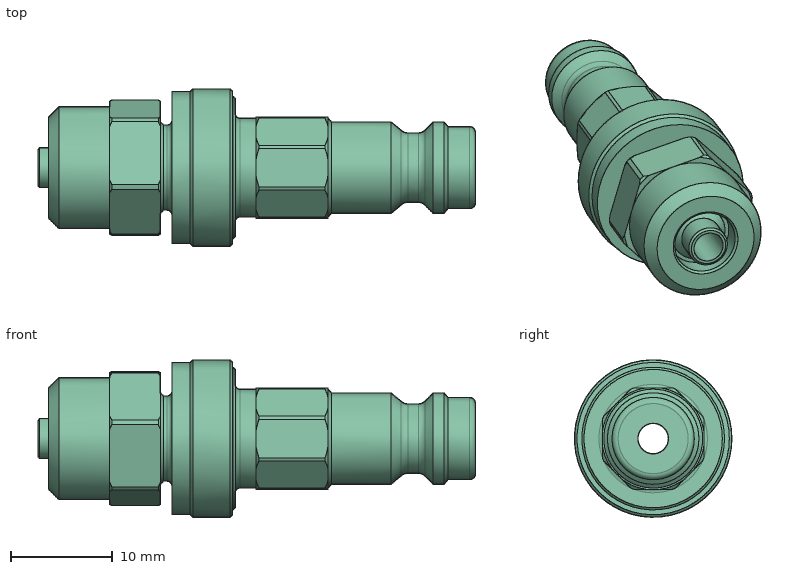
import cadquery as cq
import math

LENGTH = 43.0
BORE_R = 2.95 / 2

BARB_R = 3.95 / 2
BARB_TIP_R = 1.75
BARB_TIP_CHAMFER = 0.17
CONE_START_X = 2.6
CONE_END_X = 3.45
CONE_END_R = 2.7
STEM_R = 9.0 / 2

RELIEF_R = 8.4 / 2
RELIEF_START_X = 12.35
RELIEF_END_X = 12.7

FLANGE_X = 13.15
FLANGE_R = 7.5
RING_X = 14.95
RING_SEAT_R = 14.0 / 2
SEAT_END_X = 19.4
SEAT_CHAMFER = 0.2
NECK_R = 9.7 / 2
NECK_FILLET = 0.47

OCTAGON_X = 21.4
OCTAGON_END_X = 28.5
OCTAGON_FLATS = 9.98
OCTAGON_CORNER_R = 5.35
OCTAGON_CHAMFER = 0.3
OCTAGON_SLOPE_END_X = 28.85

PLUG_R = 9.0 / 2
LOCK_R = 6.85 / 2
LOCK_START_X = 34.7
LOCK_FLOOR_X = 36.35
LOCK_FLOOR_END_X = 37.35
LOCK_END_X = 38.85
LOCK_ARC_R = 0.95
COLLAR_END_X = 39.9
NOSE_X = 40.3
NOSE_R = 8.1 / 2
NOSE_FILLET = 0.6

NUT_X = 1.05
NUT_R = 12.0 / 2
NUT_CHAMFER = 1.05
NUT_MOUTH_R = 6.2 / 2
NUT_MOUTH_CHAMFER = 0.2
HEXAGON_X = 7.05
NUT_END_X = 12.05
HEXAGON_FLATS = 12.0
HEXAGON_CORNER_R = 6.8
HEXAGON_CHAMFER = 0.2
HEXAGON_TURN = 13.7

RING_R = 15.5 / 2
RING_END_X = 19.15
RING_CHAMFER = 0.25


def turned(profile):
    """Revolve an XY half-profile about the X axis."""
    return profile.close().revolve(360, (0, 0, 0), (1, 0, 0))


def cylinder(x_start, x_end, radius):
    return cq.Workplane("YZ", origin=(x_start, 0, 0)).circle(radius).extrude(x_end - x_start)


def wrench_section(sides, flats, corner_r, chamfer, first_corner, x_start, x_end):
    """Polygonal prism whose corners are turned to corner_r and chamfered at both ends."""
    point_r = flats / 2 / math.cos(math.pi / sides)
    corners = []
    for i in range(sides):
        angle = math.radians(first_corner + i * 360 / sides)
        corners.append((-point_r * math.cos(angle), point_r * math.sin(angle)))
    prism = cq.Workplane("YZ", origin=(x_start, 0, 0)).polyline(corners).close()
    prism = prism.extrude(x_end - x_start)
    blank = cylinder(x_start, x_end, corner_r).edges().chamfer(chamfer)
    return prism.intersect(blank)


def make_nut():
    sleeve = cylinder(NUT_X, NUT_END_X, NUT_R).faces("<X").chamfer(NUT_CHAMFER)
    hexagon = wrench_section(
        6, HEXAGON_FLATS, HEXAGON_CORNER_R, HEXAGON_CHAMFER, HEXAGON_TURN, HEXAGON_X, NUT_END_X
    )
    mouth_edge_r = NUT_MOUTH_R + NUT_MOUTH_CHAMFER
    opening = turned(
        cq.Workplane("XY")
        .moveTo(NUT_X, 0)
        .lineTo(NUT_X, mouth_edge_r)
        .lineTo(NUT_X + NUT_MOUTH_CHAMFER, NUT_MOUTH_R)
        .lineTo(CONE_END_X, NUT_MOUTH_R)
        .lineTo(CONE_END_X, STEM_R)
        .lineTo(NUT_END_X, STEM_R)
        .lineTo(NUT_END_X, 0)
    )
    return sleeve.union(hexagon).cut(opening)


def make_ring():
    ring = cylinder(RING_X, RING_END_X, RING_R).edges().chamfer(RING_CHAMFER)
    return ring.cut(cylinder(RING_X, RING_END_X, RING_SEAT_R))


def add_lock_groove(profile):
    """Groove with 45 degree flanks that run tangentially into the floor by arcs."""
    tangent = LOCK_ARC_R * math.tan(math.pi / 8)
    depth = PLUG_R - LOCK_R
    rise = LOCK_ARC_R * (1 - math.cos(math.pi / 4))
    half_rise = LOCK_ARC_R * (1 - math.cos(math.pi / 8))
    run = LOCK_ARC_R * math.sin(math.pi / 4)
    half_run = LOCK_ARC_R * math.sin(math.pi / 8)
    return (
        profile.lineTo(LOCK_START_X, PLUG_R)
        .lineTo(LOCK_FLOOR_X - run, LOCK_R + rise)
        .threePointArc((LOCK_FLOOR_X - half_run, LOCK_R + half_rise), (LOCK_FLOOR_X, LOCK_R))
        .lineTo(LOCK_FLOOR_END_X, LOCK_R)
        .threePointArc(
            (LOCK_FLOOR_END_X + half_run, LOCK_R + half_rise),
            (LOCK_FLOOR_END_X + run, LOCK_R + rise),
        )
        .lineTo(LOCK_END_X, PLUG_R)
    )


def make_fitting():
    relief_step = STEM_R - RELIEF_R
    relief_fillet = FLANGE_X - RELIEF_END_X
    seat_end_r = RING_SEAT_R - SEAT_CHAMFER
    profile = (
        cq.Workplane("XY")
        .moveTo(0, 0)
        .lineTo(0, BARB_TIP_R)
        .lineTo(BARB_TIP_CHAMFER, BARB_R)
        .lineTo(CONE_START_X, BARB_R)
        .lineTo(CONE_END_X, CONE_END_R)
        .lineTo(CONE_END_X, STEM_R)
        .lineTo(RELIEF_START_X - relief_step, STEM_R)
        .lineTo(RELIEF_START_X, RELIEF_R)
        .lineTo(RELIEF_END_X, RELIEF_R)
        .radiusArc((FLANGE_X, RELIEF_R + relief_fillet), -relief_fillet)
        .lineTo(FLANGE_X, FLANGE_R)
        .lineTo(RING_X, FLANGE_R)
        .lineTo(RING_X, RING_SEAT_R)
        .lineTo(SEAT_END_X - SEAT_CHAMFER, RING_SEAT_R)
        .lineTo(SEAT_END_X, seat_end_r)
        .lineTo(SEAT_END_X, NECK_R + NECK_FILLET)
        .radiusArc((SEAT_END_X + NECK_FILLET, NECK_R), -NECK_FILLET)
        .lineTo(OCTAGON_END_X, NECK_R)
        .lineTo(OCTAGON_SLOPE_END_X, PLUG_R)
    )
    profile = (
        add_lock_groove(profile)
        .lineTo(COLLAR_END_X, PLUG_R)
        .lineTo(NOSE_X, NOSE_R)
        .lineTo(LENGTH - NOSE_FILLET, NOSE_R)
        .radiusArc((LENGTH, NOSE_R - NOSE_FILLET), NOSE_FILLET)
        .lineTo(LENGTH, 0)
    )
    octagon = wrench_section(
        8, OCTAGON_FLATS, OCTAGON_CORNER_R, OCTAGON_CHAMFER, 180 / 8, OCTAGON_X, OCTAGON_END_X
    )
    return turned(profile).union(octagon).cut(cylinder(0, LENGTH, BORE_R))


nut = make_nut()
ring = make_ring()
fitting = make_fitting()

result = cq.Compound.makeCompound([nut.val(), ring.val(), fitting.val()])